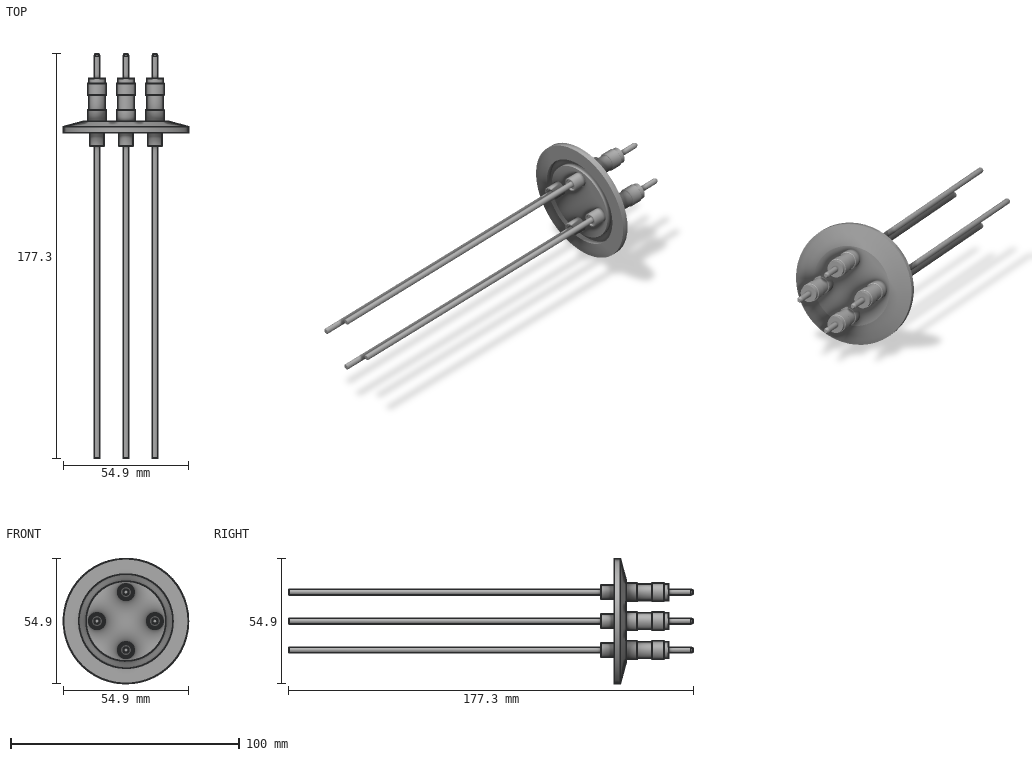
import cadquery as cq

FLANGE_RADIUS = 27.43
RIM_THICKNESS = 2.7
FLANGE_THICKNESS = 5.2
TAPER_TOP_RADIUS = 18.2

GROOVE_OUTER_RADIUS = 20.65
GROOVE_INNER_RADIUS = 17.5
GROOVE_DEPTH = 2.4

PIN_COUNT = 4
PIN_CIRCLE_RADIUS = 12.7
PIN_RADIUS = 1.27
PIN_LENGTH = 177.29
PIN_BACK_END = 34.65
PIN_FRONT_END = PIN_BACK_END - PIN_LENGTH
PIN_TIP_CHAMFER_LENGTH = 1.1
PIN_TIP_CHAMFER_WIDTH = 0.5
PIN_FRONT_CHAMFER = 0.25

SLEEVE_RADIUS = 3.18
SLEEVE_LENGTH = 5.8
SLEEVE_CHAMFER = 0.2
SLEEVE_BORE_RADIUS = 2.55
SLEEVE_BORE_DEPTH = 1.0

RELIEF_RADIUS = 3.6
RELIEF_DEPTH = 0.5

CORE_RADIUS = 3.68
CORE_END = 23.9
COLLAR_RADIUS = 4.1
COLLAR_CHAMFER = 0.25
LOWER_COLLAR_END = 10.2
UPPER_COLLAR_START = 16.5
UPPER_COLLAR_END = 21.9


def cylinder(radius, start, end):
    """Cylinder along Y between two Y positions."""
    return cq.Workplane("XZ", origin=(0, end, 0)).circle(radius).extrude(end - start)


def make_flange():
    profile = [
        (0, 0),
        (FLANGE_RADIUS, 0),
        (FLANGE_RADIUS, RIM_THICKNESS),
        (TAPER_TOP_RADIUS, FLANGE_THICKNESS),
        (0, FLANGE_THICKNESS),
    ]
    body = cq.Workplane("XY").polyline(profile).close().revolve(360, (0, 0, 0), (0, 1, 0))
    groove = cylinder(GROOVE_OUTER_RADIUS, 0, GROOVE_DEPTH)
    groove = groove.cut(cylinder(GROOVE_INNER_RADIUS, 0, GROOVE_DEPTH))
    return body.cut(groove)


def make_pin():
    pin = cylinder(PIN_RADIUS, PIN_FRONT_END, PIN_BACK_END)
    pin = pin.faces(">Y").chamfer(PIN_TIP_CHAMFER_LENGTH, PIN_TIP_CHAMFER_WIDTH)
    return pin.faces("<Y").chamfer(PIN_FRONT_CHAMFER)


def make_sleeve():
    sleeve = cylinder(SLEEVE_RADIUS, -SLEEVE_LENGTH, RELIEF_DEPTH)
    sleeve = sleeve.faces("<Y").chamfer(SLEEVE_CHAMFER)
    bore = cylinder(SLEEVE_BORE_RADIUS, -SLEEVE_LENGTH, SLEEVE_BORE_DEPTH - SLEEVE_LENGTH)
    return sleeve.cut(bore)


def make_insulator():
    core = cylinder(CORE_RADIUS, FLANGE_THICKNESS, CORE_END)
    lower_collar = cylinder(COLLAR_RADIUS, FLANGE_THICKNESS, LOWER_COLLAR_END)
    lower_collar = lower_collar.faces(">Y").chamfer(COLLAR_CHAMFER)
    upper_collar = cylinder(COLLAR_RADIUS, UPPER_COLLAR_START, UPPER_COLLAR_END)
    upper_collar = upper_collar.faces("<Y or >Y").chamfer(COLLAR_CHAMFER)
    return core.union(lower_collar).union(upper_collar)


def place_around_flange(shape):
    """Copies of an on-axis shape at every pin position."""
    copies = cq.Workplane("XY")
    for index in range(PIN_COUNT):
        angle = 360 / PIN_COUNT * index
        copy = shape.translate((PIN_CIRCLE_RADIUS, 0, 0)).rotate((0, 0, 0), (0, 1, 0), angle)
        copies = copies.add(copy)
    return copies.combine()


relief = cylinder(RELIEF_RADIUS, 0, RELIEF_DEPTH)
feedthrough = make_sleeve().union(make_insulator()).union(make_pin())

flange = make_flange().cut(place_around_flange(relief))
result = flange.union(place_around_flange(feedthrough)).solids()